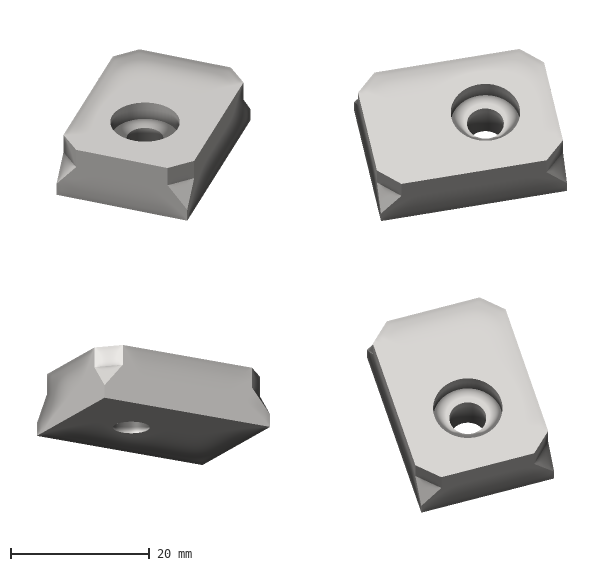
import cadquery as cq
import math

width = 20.0
length = 27.35
height = 8.5

hole_diameter = 5.3
counterbore_diameter = 10.0
counterbore_depth = 2.82
hole_to_front_face = 10.0

corner_leg = 3.0
upright_depth = 3.0
runout_angle = 50.0
runout_depth = corner_leg * math.tan(math.radians(runout_angle))


def corner_cutter(x_sign, y_sign):
    """Wedge that relieves one corner, swept parallel to the chamfer face."""
    inset = corner_leg / math.sqrt(2)
    ledge_z = height - upright_depth
    runout_z = ledge_z - runout_depth
    outward = cq.Vector(x_sign, y_sign, 0)
    profile_plane = cq.Plane(
        origin=(x_sign * width / 2, y_sign * length / 2, 0),
        xDir=outward,
        normal=outward.cross(cq.Vector(0, 0, 1)),
    )
    return (
        cq.Workplane(profile_plane)
        .polyline([(-inset, height), (-inset, ledge_z), (0, runout_z), (0, height)])
        .close()
        .extrude(corner_leg, both=True)
    )


block = cq.Workplane("XY").box(width, length, height, centered=(True, True, False))

for x_sign in (-1, 1):
    for y_sign in (-1, 1):
        block = block.cut(corner_cutter(x_sign, y_sign))

result = (
    block.faces(">Z")
    .workplane(origin=(0, hole_to_front_face - length / 2, height))
    .cboreHole(hole_diameter, counterbore_diameter, counterbore_depth)
)